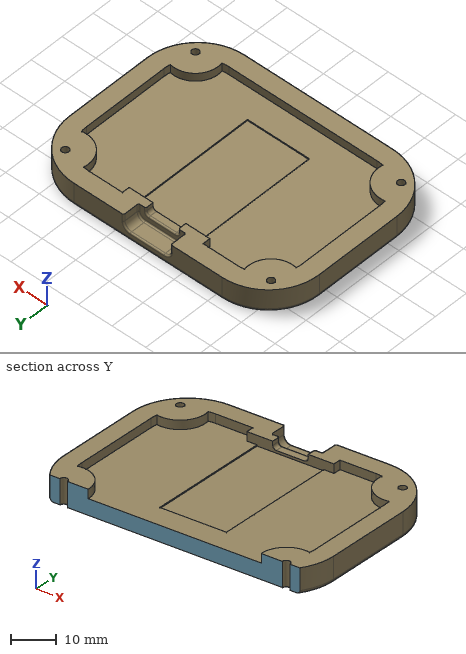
import cadquery as cq

length = 74.15
width = 55.1
height = 6.7
corner_radius = 15.05
bottom_round = 1.0

rim = 5.05
pocket_depth = 2.4
hole_inset = 6.5
hole_diameter = 2.0
lobe_radius = 6.8

connector_x = 0.2
tab_width = 23.95
tab_depth = 2.15

recess_width = 18.3
recess_length = 35.15
recess_depth = 0.3

outer_width = 14.0
outer_corner = 2.0
outer_drop = 4.15
outer_reach = 4.8
inner_width = 9.7
inner_corner = 1.0
inner_drop = 2.0
edge_round = 0.45

pick_margin = 0.1

pocket_floor_z = height - pocket_depth
back_y = width / 2
tab_front_y = back_y - rim - tab_depth
outer_end_y = back_y - outer_reach
hole_x = length / 2 - hole_inset
hole_y = width / 2 - hole_inset
screw_points = [(side_x * hole_x, side_y * hole_y) for side_x in (-1, 1) for side_y in (-1, 1)]


def rounded_block(x_size, y_size, radius, bottom_z):
    """Block from bottom_z to the tray top, centred in X and Y, with rounded vertical corners."""
    block = cq.Workplane("XY").workplane(offset=bottom_z).rect(x_size, y_size).extrude(height - bottom_z)
    return block.edges("|Z").fillet(radius)


def connector_box(x_size, low_y, high_y, bottom_z):
    """Plain box on the connector centre line, reaching from bottom_z to the tray top."""
    box = cq.Workplane("XY").box(x_size, high_y - low_y, height - bottom_z, centered=(True, False, False))
    return box.translate((connector_x, low_y, bottom_z))


def screw_cylinders(radius, bottom_z):
    """Cylinders at the screw points, from bottom_z to the tray top."""
    plane = cq.Workplane("XY").workplane(offset=bottom_z)
    return plane.pushPoints(screw_points).circle(radius).extrude(height - bottom_z)


def make_body():
    body = rounded_block(length, width, corner_radius, 0)
    return body.faces("<Z").edges().fillet(bottom_round)


def make_pocket():
    """Pocket cutter that spares the corner lobes and the connector tab."""
    pocket = rounded_block(length - 2 * rim, width - 2 * rim, corner_radius - rim, pocket_floor_z)
    lobes = screw_cylinders(lobe_radius, pocket_floor_z)
    tab = connector_box(tab_width, tab_front_y, back_y, pocket_floor_z)
    return pocket.cut(lobes).cut(tab)


def make_recess():
    recess_floor_z = pocket_floor_z - recess_depth
    return connector_box(recess_width, tab_front_y - recess_length, tab_front_y, recess_floor_z)


def make_opening(opening_width, drop, lower_corner, low_y):
    """U-shaped cutter, open at the top, from low_y to the back face."""
    cutter = connector_box(opening_width, low_y, back_y, height - drop)
    return cutter.edges("|Y and <Z").fillet(lower_corner)


def round_mouth(body, mouth_y, opening_width, drop):
    """Round the U-shaped edge where an opening meets the wall at mouth_y."""
    half_width = opening_width / 2 + pick_margin
    low_corner = (connector_x - half_width, mouth_y - pick_margin, height - drop - pick_margin)
    high_corner = (connector_x + half_width, mouth_y + pick_margin, height - pick_margin)
    mouth_edges = cq.selectors.BoxSelector(low_corner, high_corner)
    return body.edges(mouth_edges).fillet(edge_round)


def cut_connector_opening(body):
    inner = make_opening(inner_width, inner_drop, inner_corner, tab_front_y)
    outer = make_opening(outer_width, outer_drop, outer_corner, outer_end_y)
    outer = outer.faces("<Y").edges("not >Z").fillet(edge_round)
    body = body.cut(inner).cut(outer)
    body = round_mouth(body, outer_end_y, inner_width, inner_drop)
    return round_mouth(body, back_y, outer_width, outer_drop)


result = make_body().cut(make_pocket()).cut(make_recess())
result = cut_connector_opening(result)
result = result.cut(screw_cylinders(hole_diameter / 2, 0))